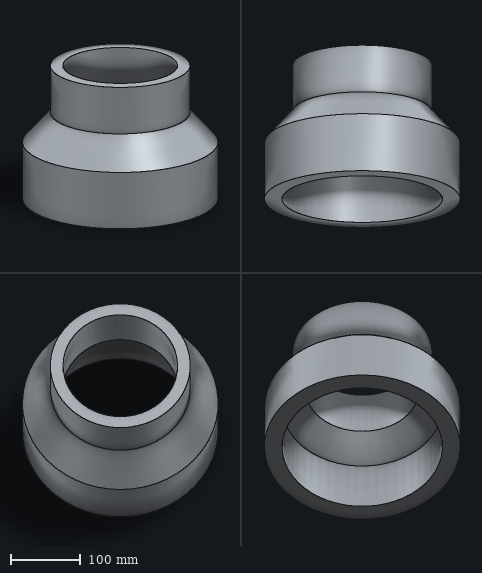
import cadquery as cq

large_diameter = 280.0
small_diameter = 200.0
large_wall = 25.5
small_wall = 18.2

height = 200.0
large_length = 85.0
small_length = 70.0
large_bore_depth = 85.0
small_bore_depth = 77.0

large_radius = large_diameter / 2
small_radius = small_diameter / 2
large_bore_radius = large_radius - large_wall
small_bore_radius = small_radius - small_wall


def stepped_cone(bottom_radius, bottom_length, top_radius, top_length):
    """Solid of two cylinders joined by a cone, standing on Z = 0."""
    return (
        cq.Workplane("XZ")
        .moveTo(0, 0)
        .lineTo(bottom_radius, 0)
        .lineTo(bottom_radius, bottom_length)
        .lineTo(top_radius, height - top_length)
        .lineTo(top_radius, height)
        .lineTo(0, height)
        .close()
        .revolve(360, (0, 0, 0), (0, 1, 0))
    )


body = stepped_cone(large_radius, large_length, small_radius, small_length)
bore = stepped_cone(large_bore_radius, large_bore_depth, small_bore_radius, small_bore_depth)

result = body.cut(bore)